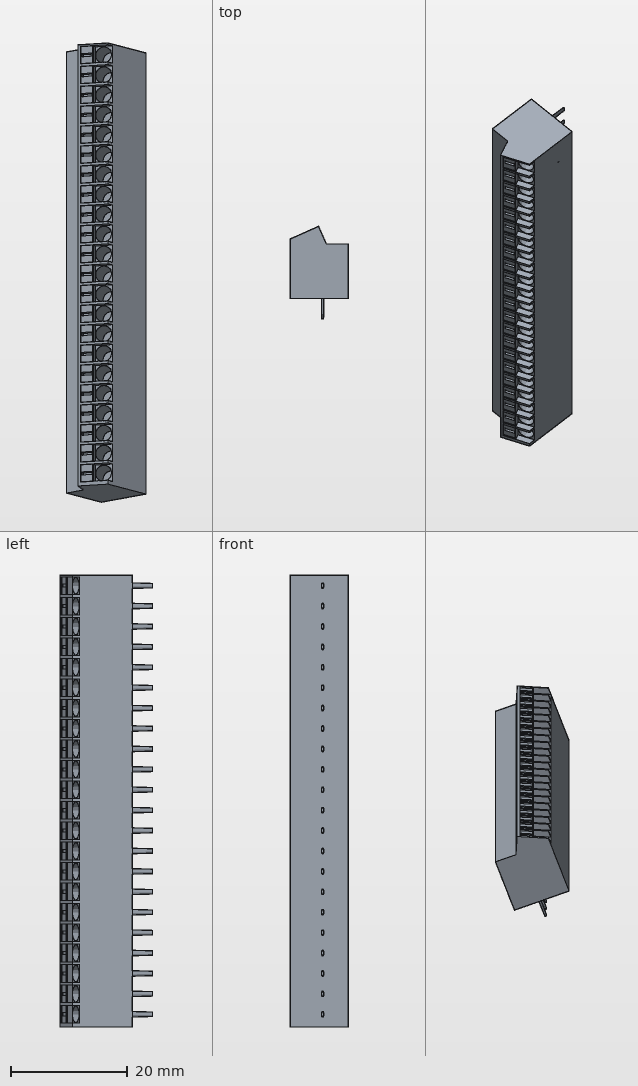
import cadquery as cq
import math

HEIGHT = 77.6
WIDTH = 10.0
PEAK_X = 4.9
PEAK_Y = 12.4
LEDGE_Y = 9.4
SLOPE = 24.0

POLES = 22
TOP_MARGIN = 0.1
BOTTOM_MARGIN = 0.5
PITCH = (HEIGHT - TOP_MARGIN - BOTTOM_MARGIN) / POLES

RECESS_HEIGHT = 3.0
RECESS_DEPTH = 1.1
RECESS_END = 2.55
RECESS_OVERRUN = 0.8

HOLE_DIAMETER = 2.8
HOLE_CENTRE = 1.1
HOLE_DEPTH = 4.65

BUTTON_START = 2.7
BUTTON_END = 4.9
BUTTON_DEPTH = 0.2
SLOT_START = 2.9
SLOT_END = 4.65
SLOT_WIDTH = 0.55
SLOT_DEPTH = 1.1

PIN_X = 5.6
PIN_LENGTH = 3.5
PIN_THICKNESS = 0.5
PIN_HEIGHT = 1.0
TIP_RATIO = 0.8
PIN_ROOT = 0.4

angle = math.radians(SLOPE)
corner_y = PEAK_Y - PEAK_X * math.tan(angle)
notch_x = PEAK_X + (PEAK_Y - LEDGE_Y) * math.tan(angle)
slope_plane = cq.Plane(
    origin=(0, corner_y, 0),
    xDir=(math.cos(angle), math.sin(angle), 0),
    normal=(-math.sin(angle), math.cos(angle), 0),
)


def slope_pocket(start, end, height, depth):
    """Box sunk into the sloped face, from start to end up the slope, centred on Z = 0."""
    return (
        cq.Workplane(slope_plane)
        .center((start + end) / 2, 0)
        .rect(end - start, height)
        .extrude(-depth)
    )


def pole_cut():
    """Everything removed from the sloped face for one pole, centred on Z = 0."""
    recess_start = -RECESS_DEPTH * math.tan(angle) - RECESS_OVERRUN
    recess = slope_pocket(recess_start, RECESS_END, RECESS_HEIGHT, RECESS_DEPTH)
    hole = (
        cq.Workplane(slope_plane)
        .center(HOLE_CENTRE, 0)
        .circle(HOLE_DIAMETER / 2)
        .extrude(-RECESS_DEPTH - HOLE_DEPTH)
    )
    button = slope_pocket(BUTTON_START, BUTTON_END, RECESS_HEIGHT, BUTTON_DEPTH)
    slot = slope_pocket(SLOT_START, SLOT_END, SLOT_WIDTH, SLOT_DEPTH)
    return recess.union(hole).union(button).union(slot)


def pin():
    """Solder pin pointing along -Y from the pin face, centred on Z = 0."""
    pin_plane = cq.Plane(origin=(PIN_X, 0, 0), xDir=(1, 0, 0), normal=(0, -1, 0))
    return (
        cq.Workplane(pin_plane)
        .workplane(offset=-PIN_ROOT)
        .ellipse(PIN_THICKNESS / 2, PIN_HEIGHT / 2)
        .workplane(offset=PIN_ROOT + PIN_LENGTH)
        .ellipse(PIN_THICKNESS / 2 * TIP_RATIO, PIN_HEIGHT / 2 * TIP_RATIO)
        .loft()
    )


profile = [
    (0, 0),
    (WIDTH, 0),
    (WIDTH, LEDGE_Y),
    (notch_x, LEDGE_Y),
    (PEAK_X, PEAK_Y),
    (0, corner_y),
]
housing = cq.Workplane("XY").polyline(profile).close().extrude(HEIGHT)

pole_heights = [HEIGHT - TOP_MARGIN - (i + 0.5) * PITCH for i in range(POLES)]
cut_shape = pole_cut().val()
pin_shape = pin().val()
cuts = [cut_shape.translate(cq.Vector(0, 0, z)) for z in pole_heights]
pins = [pin_shape.translate(cq.Vector(0, 0, z)) for z in pole_heights]

result = cq.Workplane(housing.val().cut(*cuts).fuse(*pins))